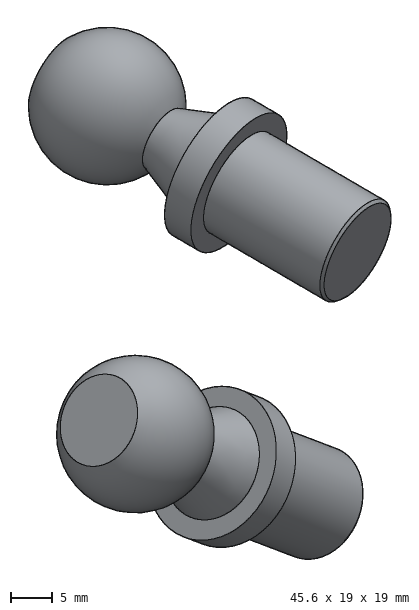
import cadquery as cq
import math

total_length = 45.6
ball_diameter = 19.0
ball_flat_diameter = 11.4
neck_diameter = 8.35
collar_diameter = 19.0
collar_thickness = 4.0
shank_diameter = 14.0
shank_length = 18.0
end_chamfer = 0.35

ball_radius = ball_diameter / 2
ball_flat_radius = ball_flat_diameter / 2
neck_radius = neck_diameter / 2
collar_radius = collar_diameter / 2
shank_radius = shank_diameter / 2

flat_x = -math.sqrt(ball_radius**2 - ball_flat_radius**2)
neck_x = math.sqrt(ball_radius**2 - neck_radius**2)
shank_end_x = flat_x + total_length
collar_back_x = shank_end_x - shank_length
collar_front_x = collar_back_x - collar_thickness

profile = (
    cq.Workplane("XY")
    .moveTo(flat_x, 0)
    .lineTo(flat_x, ball_flat_radius)
    .threePointArc((0, ball_radius), (neck_x, neck_radius))
    .lineTo(collar_front_x, shank_radius)
    .lineTo(collar_front_x, collar_radius)
    .lineTo(collar_back_x, collar_radius)
    .lineTo(collar_back_x, shank_radius)
    .lineTo(shank_end_x - end_chamfer, shank_radius)
    .lineTo(shank_end_x, shank_radius - end_chamfer)
    .lineTo(shank_end_x, 0)
    .close()
)

result = profile.revolve(360, (0, 0, 0), (1, 0, 0))